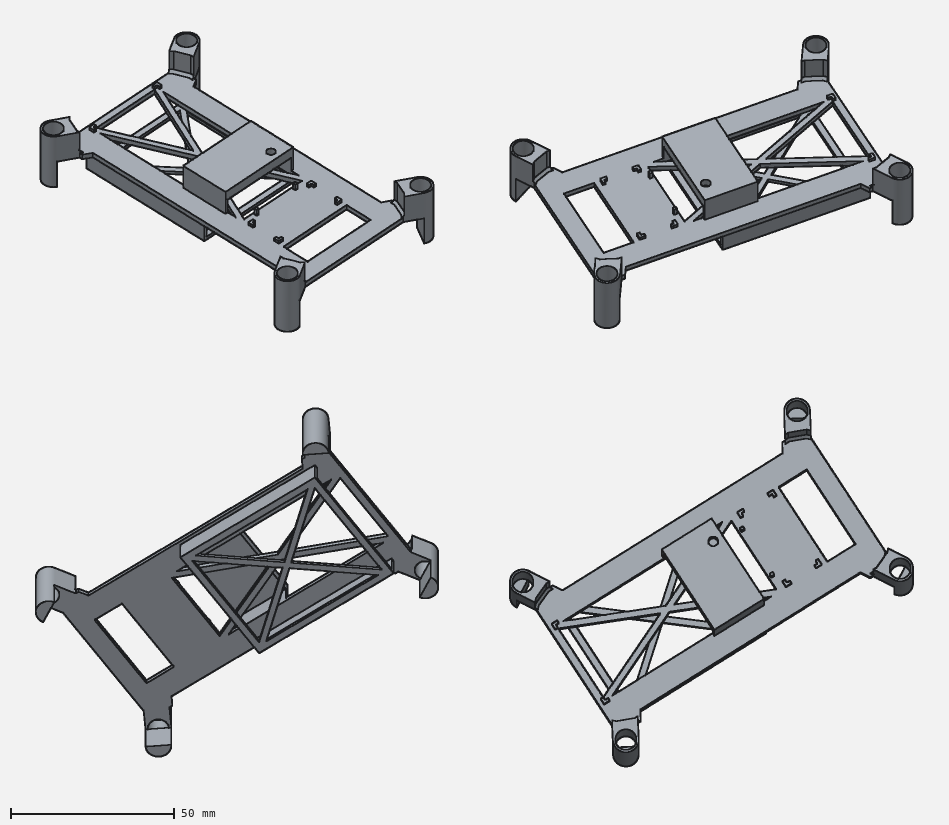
import cadquery as cq
import math

OVERALL_LENGTH = 107.5
OVERALL_WIDTH = 66.5

PLATE_THICKNESS = 1.8
POST_TOP = 10.1
POST_BOTTOM = -10.0
LID_TOP = 10.5

PLATE_LENGTH = 99.8
PLATE_WIDTH = 44.3
WINDOW_HALF_WIDTH = 13.9
FRONT_WINDOW = (-47.4, 15.4)
REAR_WINDOW = (33.2, 43.4)

POST_RADIUS = 4.0
POST_HOLE_DIAMETER = 6.5
POST_X = OVERALL_LENGTH / 2 - POST_RADIUS
POST_Y = OVERALL_WIDTH / 2 - POST_RADIUS
ARM_ANGLE = 60
ARM_REACH = 12.9
LUG_HALF_WIDTH = 4.9

CLEARANCE_SIDES = 16
CLEARANCE_X = 41.1
CLEARANCE_Y = 10.9
CLEARANCE_APOTHEM = 14.2
ARM_CHAMFER = 1.0
CHAMFER_ANGLE = 45

BRACE_WIDTH = 2.0

TRAY_X = (-43.8, 6.5)
TRAY_WIDTH = 42.1
TRAY_DEPTH = 7.2
TRAY_WALL = 1.2
TRAY_RIM = 2.3

LID_X = (-8.5, 9.6)
LID_WALL = 1.1
LID_WIDTH = 2 * (WINDOW_HALF_WIDTH + LID_WALL)
LID_ROOF = 3.7
LID_HOLE_DIAMETER = 3.0
LID_HOLE_POSITION = (6.1, 8.6)
LID_HOLE_DEPTH = LID_ROOF - LID_WALL

BRACKET_SIZE = 2.0
BRACKET_WALL = 1.0
BRACKET_HEIGHT = 1.0
FRONT_BRACKET_CORNER = (FRONT_WINDOW[0] - LID_WALL, WINDOW_HALF_WIDTH + LID_WALL)
REAR_BRACKET_X = (18.2, 31.2)
PEG_LENGTH = 1.1
PEG_WIDTH = 1.0
PEG_HEIGHT = 2.3
PEG_X = 16.6
PEG_Y = 8.5


def block(x_range, y_range, z_range):
    """Axis-aligned box spanning three (low, high) ranges."""
    sizes = [high - low for low, high in (x_range, y_range, z_range)]
    corner = (x_range[0], y_range[0], z_range[0])
    return cq.Workplane("XY").box(*sizes, centered=False).translate(corner)


def centered(width):
    """Range of the given width centred on zero."""
    return (-width / 2, width / 2)


def crossed_braces(x_range, width, z_range):
    """Two bars along the diagonals of a rectangle, trimmed to it."""
    length = x_range[1] - x_range[0]
    angle = math.degrees(math.atan2(width, length))
    height = z_range[1] - z_range[0]
    center = (sum(x_range) / 2, 0, z_range[0])
    bar = cq.Workplane("XY").box(2 * length, BRACE_WIDTH, height, centered=(True, True, False))
    cross = cq.Workplane("XY")
    for turn in (angle, -angle):
        cross = cross.union(bar.rotate((0, 0, 0), (0, 0, 1), turn))
    outline = block(x_range, centered(width), z_range)
    return cross.translate(center).intersect(outline)


def in_all_corners(feature):
    """Copies of a +X +Y feature in all four corners."""
    pair = feature.union(feature.mirror("YZ"))
    return pair.union(pair.mirror("XZ"))


def on_both_sides(feature):
    """A feature together with its mirror image across the XZ plane."""
    return feature.union(feature.mirror("XZ"))


def make_plate():
    plate = block(centered(PLATE_LENGTH), centered(PLATE_WIDTH), (0, PLATE_THICKNESS))
    for window in (FRONT_WINDOW, REAR_WINDOW):
        plate = plate.cut(block(window, centered(2 * WINDOW_HALF_WIDTH), (0, PLATE_THICKNESS)))
    return plate.union(crossed_braces(FRONT_WINDOW, 2 * WINDOW_HALF_WIDTH, (0, PLATE_THICKNESS)))


def clearance_section(apothem, z):
    """Sixteen-sided outline with a flat facing +Y, at the given height."""
    half_step = 180 / CLEARANCE_SIDES
    diameter = 2 * apothem / math.cos(math.radians(half_step))
    plane = cq.Plane(origin=(CLEARANCE_X, CLEARANCE_Y, z)).rotated((0, 0, half_step))
    return cq.Workplane(plane).polygon(CLEARANCE_SIDES, diameter)


def make_arm_clearance():
    """Prism above the plate that flares outward over the chamfer at its foot."""
    chamfer_top = PLATE_THICKNESS + ARM_CHAMFER
    foot = clearance_section(CLEARANCE_APOTHEM - ARM_CHAMFER, PLATE_THICKNESS)
    flare = foot.extrude(ARM_CHAMFER, taper=-CHAMFER_ANGLE)
    upper = clearance_section(CLEARANCE_APOTHEM, chamfer_top).extrude(POST_TOP - chamfer_top)
    return flare.union(upper)


def arm_strip(half_width, z_range):
    """Bar along the arm axis, from the post axis inward to the plate."""
    bar = block((0, ARM_REACH), (-half_width, half_width), z_range)
    return bar.rotate((0, 0, 0), (0, 0, 1), ARM_ANGLE + 180).translate((POST_X, POST_Y, 0))


def make_corner():
    """Post, arm and plate lug of the +X +Y corner."""
    post_center = cq.Workplane("XY").center(POST_X, POST_Y)
    arm = arm_strip(POST_RADIUS, (0, POST_TOP)).cut(make_arm_clearance())
    arm = arm.union(post_center.circle(POST_RADIUS).extrude(POST_TOP))
    arm = arm.cut(post_center.circle(POST_HOLE_DIAMETER / 2).extrude(POST_TOP))

    leg = post_center.workplane(offset=POST_BOTTOM).circle(POST_RADIUS).extrude(-POST_BOTTOM)
    leg = leg.cut(arm_strip(POST_RADIUS, (POST_BOTTOM, 0)))

    lug = clearance_section(CLEARANCE_APOTHEM, 0).extrude(PLATE_THICKNESS)
    lug = lug.intersect(arm_strip(LUG_HALF_WIDTH, (0, PLATE_THICKNESS)))
    lug = lug.intersect(block((0, PLATE_LENGTH / 2), (0, POST_Y), (0, PLATE_THICKNESS)))
    return arm.union(leg).union(lug)


def make_tray():
    floor = (-TRAY_DEPTH, TRAY_WALL - TRAY_DEPTH)
    tray = block(TRAY_X, centered(TRAY_WIDTH), (-TRAY_DEPTH, 0))
    tray = tray.cut(block(TRAY_X, centered(TRAY_WIDTH - 2 * TRAY_WALL), (floor[1], 0)))
    opening_x = (TRAY_X[0] + TRAY_RIM, TRAY_X[1] - TRAY_RIM)
    tray = tray.cut(block(opening_x, centered(TRAY_WIDTH - 2 * TRAY_RIM), floor))
    return tray.union(crossed_braces(TRAY_X, TRAY_WIDTH, floor))


def make_lid():
    lid = block(LID_X, centered(LID_WIDTH), (PLATE_THICKNESS, LID_TOP))
    passage = (PLATE_THICKNESS, LID_TOP - LID_ROOF)
    lid = lid.cut(block(LID_X, centered(LID_WIDTH - 2 * LID_WALL), passage))
    hole = cq.Workplane("XY").workplane(offset=LID_TOP).center(*LID_HOLE_POSITION)
    return lid.cut(hole.circle(LID_HOLE_DIAMETER / 2).extrude(-LID_HOLE_DEPTH))


def make_bracket(corner_x, corner_y, x_direction):
    """L-shaped stop with its outer corner given, arms toward x_direction and -Y."""
    outline = [
        (0, 0),
        (BRACKET_SIZE, 0),
        (BRACKET_SIZE, -BRACKET_WALL),
        (BRACKET_WALL, -BRACKET_WALL),
        (BRACKET_WALL, -BRACKET_SIZE),
        (0, -BRACKET_SIZE),
    ]
    points = [(corner_x + x_direction * x, corner_y + y) for x, y in outline]
    plane = cq.Workplane("XY").workplane(offset=PLATE_THICKNESS)
    return plane.polyline(points).close().extrude(BRACKET_HEIGHT)


def make_locators():
    locators = make_bracket(*FRONT_BRACKET_CORNER, 1)
    for corner_x, x_direction in zip(REAR_BRACKET_X, (1, -1)):
        locators = locators.union(make_bracket(corner_x, WINDOW_HALF_WIDTH, x_direction))
    peg = cq.Workplane("XY").box(PEG_LENGTH, PEG_WIDTH, PEG_HEIGHT, centered=(True, True, False))
    locators = locators.union(peg.translate((PEG_X, PEG_Y, PLATE_THICKNESS)))
    return on_both_sides(locators)


result = (
    make_plate()
    .union(in_all_corners(make_corner()))
    .union(make_tray())
    .union(make_lid())
    .union(make_locators())
)